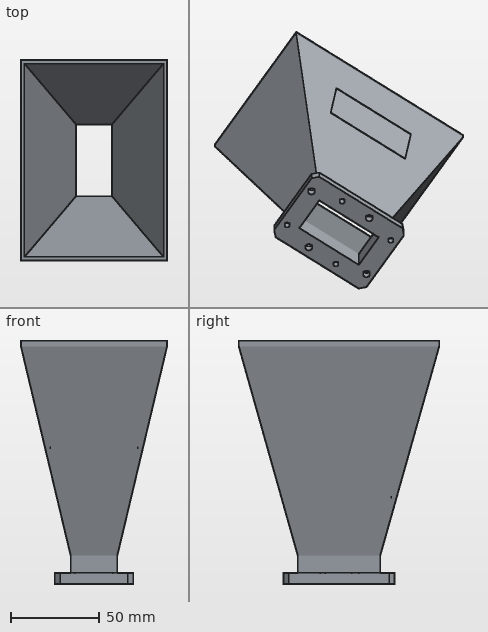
import cadquery as cq

total_height = 138.0
mouth_x = 83.0
mouth_y = 113.7
rim_height = 3.3
rim_wall = 2.1

bore_x = 20.3
bore_y = 40.6
neck_wall = 3.2
neck_height = 10.0
neck_x = bore_x + 2 * neck_wall
neck_y = bore_y + 2 * neck_wall

flange_x = 44.6
flange_y = 63.0
flange_thickness = 6.3
flange_chamfer = 3.2

clearance_diameter = 3.9
locating_diameter = 2.9
end_hole_x = 12.4
end_hole_y = 27.0
side_hole_x = 17.0
side_hole_y = 9.2

label_width = 50.8
label_bottom = 84.6
label_top = 109.2
label_depth = 0.1

neck_top = flange_thickness + neck_height
rim_bottom = total_height - rim_height


def block(size_x, size_y, bottom, top):
    """Box centred on the horn axis between two levels."""
    return cq.Workplane("XY").workplane(offset=bottom).rect(size_x, size_y).extrude(top - bottom)


def taper(lower_x, lower_y, upper_x, upper_y, bottom, top):
    """Rectangular pyramid frustum centred on the horn axis."""
    return (
        cq.Workplane("XY").workplane(offset=bottom).rect(lower_x, lower_y)
        .workplane(offset=top - bottom).rect(upper_x, upper_y)
        .loft(ruled=True)
    )


def make_flange():
    """Chamfered plate with hole patterns symmetric under a half turn."""
    plate = block(flange_x, flange_y, 0, flange_thickness)
    plate = plate.edges("|Z").chamfer(flange_chamfer)
    clearance_points = [(-end_hole_x, end_hole_y), (-side_hole_x, -side_hole_y)]
    locating_points = [(-end_hole_x, -end_hole_y), (-side_hole_x, side_hole_y)]
    for points, diameter in (
        (clearance_points, clearance_diameter),
        (locating_points, locating_diameter),
    ):
        opposite_points = [(-x, -y) for x, y in points]
        holes = (
            cq.Workplane("XY").pushPoints(points + opposite_points)
            .circle(diameter / 2).extrude(flange_thickness)
        )
        plate = plate.cut(holes)
    return plate


def make_cavity():
    """Straight bore that flares from the neck to the open mouth."""
    bore = block(bore_x, bore_y, 0, neck_top)
    flare = taper(
        bore_x, bore_y, mouth_x - 2 * rim_wall, mouth_y - 2 * rim_wall, neck_top, total_height
    )
    return bore.union(flare)


def wall_x(level):
    """X position of the outer -X sloping wall at a given level."""
    fraction = (level - neck_top) / (rim_bottom - neck_top)
    return -(neck_x + fraction * (mouth_x - neck_x)) / 2


def make_label_recess():
    """Thin slab following the slope of the -X wall."""
    lower_x = wall_x(label_bottom)
    upper_x = wall_x(label_top)
    profile = [
        (lower_x, label_bottom),
        (lower_x + label_depth, label_bottom),
        (upper_x + label_depth, label_top),
        (upper_x, label_top),
    ]
    return cq.Workplane("XZ").polyline(profile).close().extrude(label_width / 2, both=True)


neck = block(neck_x, neck_y, flange_thickness, neck_top)
horn = taper(neck_x, neck_y, mouth_x, mouth_y, neck_top, rim_bottom)
rim = block(mouth_x, mouth_y, rim_bottom, total_height)

body = make_flange().union(neck).union(horn).union(rim)
result = body.cut(make_cavity()).cut(make_label_recess())